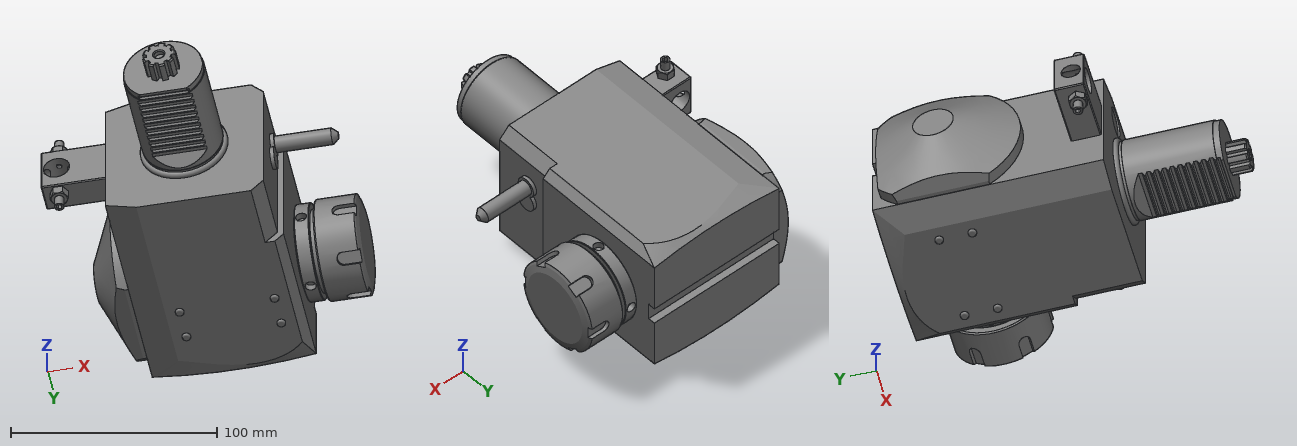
import cadquery as cq
import math


BODY_LENGTH = 116.0
BODY_HALF_HEIGHT = 37.6
BODY_LEFT = -39.0
BODY_RIGHT = 42.0
TAPER_START_X = -23.6
TAPER_HALF_HEIGHT = 33.1
RIGHT_CHAMFER = 4.3
STEP_X = 39.0
STEP_LENGTH = 35.0
STEP_CHAMFER = 6.0
BACK_SLOT_WIDTH = 9.8
BACK_SLOT_DEPTH = 4.1

SLOPE_BACK_CREST_Z = 36.5
SLOPE_LEFT_Y = 103.8
SLOPE_TOP_POINTS = [(-7.2, 109.4), (13.0, 112.8), (27.7, 109.9)]
SLOPE_RIGHT_Y = 103.0

SPINDLE_Y = 80.2

DOME_RADIUS = 40.1
DOME_TIP_RADIUS = 10.2
DOME_TIP_X = -58.9
DOME_RIM_X = -44.8
DOME_BACK_Y = 111.7
DOME_FLAT_HALF_HEIGHT = 32.8
DOME_FLAT_END_X = -40.8
DOME_FLAT_SLOPE = 0.24

SPINDLE_CORE_RADIUS = 20.5
RING_START_X = 42.8
RING_END_X = 50.1
RING_RADIUS = 24.0
RING_CHAMFER = 0.4
RING_HOLE_RADIUS = 2.7
RING_HOLE_DEPTH = 3.5
RING_HOLE_COUNT = 4
NUT_START_X = 52.5
NUT_END_X = 74.5
NUT_RADIUS = 25.0
NUT_BACK_CHAMFER = 0.7
NUT_EDGE_X = 72.7
NUT_RIM_X = 73.4
NUT_RIM_RADIUS = 23.6
NUT_FACE_RADIUS = 19.7
NUT_SLOT_COUNT = 6
NUT_SLOT_WIDTH = 6.6
NUT_SLOT_START_X = 62.0
NUT_SLOT_FLOOR_RADIUS = 22.7

SHANK_RADIUS = 20.0
SHANK_TIP_RADIUS = 19.5
SHANK_LENGTH = 52.8
SHANK_TIP_LENGTH = 3.2
COLLAR_RADIUS = 21.7
COLLAR_LENGTH = 2.3
COLLAR_ROUND = 1.8
SEAL_GROOVE_LENGTH = 1.5
SEAL_GROOVE_RADIUS = 19.7

RACK_ROOT_Z = -14.9
RACK_TIP_Z = -15.8
RACK_PITCH = 4.0
RACK_LAST_TOOTH_Y = -49.0
RACK_TOOTH_COUNT = 10
RACK_TOOTH_BASE = 2.3
RACK_TOOTH_TIP = 0.7
RACK_START_Y = -10.5
RACK_END_Y = -51.4

SPLINE_END_Y = -63.0
SPLINE_TOOTH_COUNT = 9
SPLINE_ROOT_RADIUS = 6.3
SPLINE_TIP_RADIUS = 8.2
SPLINE_TOOTH_WIDTH = 2.9
SPLINE_CHAMFER = 0.7
SPLINE_BORE_RADIUS = 2.5
SPLINE_BORE_DEPTH = 2.7
SPLINE_BORE_CHAMFER = 0.5

RECESS_X = -16.1
RECESS_Z = 27.7
RECESS_RADIUS = 7.5
RECESS_DEPTH = 0.9

PIN_Y = 21.3
PIN_Z = 16.0
PIN_RADIUS = 4.1
PIN_END_X = 72.0
PIN_TAPER_LENGTH = 3.0
PIN_TAPER = 2.5
DISC_RADIUS = 5.5
DISC_THICKNESS = 2.0
LOWER_DISC_Z = 6.5

BLOCK_LEFT = -71.0
BLOCK_FRONT_Y = 1.0
BLOCK_BACK_Y = 16.3
BLOCK_HALF_HEIGHT = 12.4
BLOCK_EDGE_CHAMFER = 0.5
CROSS_HOLE_X = -63.4
CROSS_HOLE_RADIUS = 6.5
SIDE_HOLE_Y = 7.7
SIDE_HOLE_RADIUS = 4.8
SIDE_HOLE_END_X = -46.5
FEED_HOLE_RADIUS = 1.5
FEED_HOLE_END_X = -41.2

SCREW_X = -63.0
SCREW_Y = 6.3
SCREW_RADIUS = 2.3
SCREW_END_Z = 22.4
SCREW_SOCKET_FLATS = 2.5
SCREW_SOCKET_DEPTH = 2.7
SCREW_CUP_RADIUS = 1.3
SCREW_CUP_TOP_Z = 8.0
LOCK_NUT_FLATS = 8.0
LOCK_NUT_TOP_Z = 16.8
LOCK_NUT_CHAMFER = 0.7

STUD_RADIUS = 2.1
STUD_HEIGHT = 1.5
STUD_ROUND = 0.9
STUD_XS = (-16.6, 30.3)
STUD_SPACING_Y = 16.6

OVERLAP = 1.8
CLEARANCE = 35.8


def mirrored_z(solid):
    return solid.union(solid.mirror("XY"))


def rod_x(start_x, end_x, y, z, radius):
    return (
        cq.Workplane("YZ", origin=(start_x, 0, 0))
        .center(y, z)
        .circle(radius)
        .extrude(end_x - start_x)
    )


def turned_on_spindle(profile):
    """Revolve (x, radius) points about the spindle axis."""
    return (
        cq.Workplane("XY")
        .polyline(profile)
        .close()
        .revolve(360, (0, 0, 0), (1, 0, 0))
        .translate((0, SPINDLE_Y, 0))
    )


def rear_slope_cutter():
    """Wedge above the slope, which is ruled from an arc on the back face to a curve on the top face."""
    ridge_right_x = BODY_RIGHT - RIGHT_CHAMFER
    right_z = BODY_HALF_HEIGHT - RIGHT_CHAMFER
    back_left = cq.Vector(BODY_LEFT, BODY_LENGTH, TAPER_HALF_HEIGHT)
    back_crest = cq.Vector((BODY_LEFT + BODY_RIGHT) / 2, BODY_LENGTH, SLOPE_BACK_CREST_Z)
    back_right = cq.Vector(BODY_RIGHT, BODY_LENGTH, right_z)
    top_left = cq.Vector(TAPER_START_X, SLOPE_LEFT_Y, BODY_HALF_HEIGHT)
    top_right = cq.Vector(ridge_right_x, SLOPE_RIGHT_Y, BODY_HALF_HEIGHT)
    corner_left = cq.Vector(TAPER_START_X, BODY_LENGTH, BODY_HALF_HEIGHT)
    corner_right = cq.Vector(ridge_right_x, BODY_LENGTH, BODY_HALF_HEIGHT)
    top_points = [cq.Vector(x, y, BODY_HALF_HEIGHT) for x, y in SLOPE_TOP_POINTS]

    line = cq.Edge.makeLine
    back_arc = cq.Edge.makeThreePointArc(back_left, back_crest, back_right)
    top_curve = cq.Edge.makeSpline([top_left] + top_points + [top_right])
    slope = cq.Face.makeRuledSurface(back_arc, top_curve)
    left_lines = [line(back_left, top_left), line(top_left, corner_left), line(corner_left, back_left)]
    right_lines = [line(back_right, top_right), line(top_right, corner_right), line(corner_right, back_right)]
    ridge = line(corner_left, corner_right)
    outlines = [
        left_lines,
        right_lines,
        [back_arc, right_lines[2], ridge, left_lines[2]],
        [top_curve, right_lines[1], ridge, left_lines[1]],
    ]
    flat_faces = [cq.Face.makeFromWires(cq.Wire.assembleEdges(edges)) for edges in outlines]
    return cq.Workplane(cq.Solid.makeSolid(cq.Shell.makeShell([slope] + flat_faces)))


def make_housing():
    upper_outline = [
        (BODY_LEFT, TAPER_HALF_HEIGHT),
        (TAPER_START_X, BODY_HALF_HEIGHT),
        (BODY_RIGHT - RIGHT_CHAMFER, BODY_HALF_HEIGHT),
        (BODY_RIGHT, BODY_HALF_HEIGHT - RIGHT_CHAMFER),
    ]
    lower_outline = [(x, -z) for x, z in reversed(upper_outline)]
    block = cq.Workplane("XZ").polyline(upper_outline + lower_outline).close().extrude(-BODY_LENGTH)

    step_keep = (
        cq.Workplane("XZ")
        .rect(2 * STEP_X, 2 * BODY_HALF_HEIGHT)
        .extrude(-STEP_LENGTH)
        .edges("|Y and >X")
        .chamfer(STEP_CHAMFER)
    )
    step_zone = (
        cq.Workplane("XY")
        .box(CLEARANCE, STEP_LENGTH, 3 * BODY_HALF_HEIGHT, centered=(False, False, True))
    )
    block = block.cut(step_zone.translate((STEP_X - STEP_CHAMFER, 0, 0)).cut(step_keep))

    back_slot = cq.Workplane("XY").box(4 * BODY_RIGHT, 2 * BACK_SLOT_DEPTH, BACK_SLOT_WIDTH)
    block = block.cut(back_slot.translate((0, BODY_LENGTH, 0)))
    recess = (
        cq.Workplane("XZ")
        .center(RECESS_X, RECESS_Z)
        .circle(RECESS_RADIUS)
        .extrude(-RECESS_DEPTH)
    )
    slope = rear_slope_cutter()
    return block.cut(slope).cut(slope.mirror("XY")).cut(recess)


def make_dome_cover():
    root_x = BODY_LEFT + OVERLAP
    cone = turned_on_spindle([
        (DOME_TIP_X, 0),
        (DOME_TIP_X, DOME_TIP_RADIUS),
        (DOME_RIM_X, DOME_RADIUS),
        (root_x, DOME_RADIUS),
        (root_x, 0),
    ])
    tip_half_height = DOME_FLAT_HALF_HEIGHT - DOME_FLAT_SLOPE * (DOME_FLAT_END_X - DOME_TIP_X)
    upper_outline = [
        (DOME_TIP_X, tip_half_height),
        (DOME_FLAT_END_X, DOME_FLAT_HALF_HEIGHT),
        (root_x, DOME_FLAT_HALF_HEIGHT),
    ]
    lower_outline = [(x, -z) for x, z in reversed(upper_outline)]
    limits = cq.Workplane("XZ").polyline(upper_outline + lower_outline).close().extrude(-DOME_BACK_Y)
    return cone.intersect(limits)


def make_collet_nut():
    nose = turned_on_spindle([
        (BODY_RIGHT - OVERLAP, 0),
        (BODY_RIGHT - OVERLAP, SPINDLE_CORE_RADIUS),
        (RING_START_X, SPINDLE_CORE_RADIUS),
        (RING_START_X, RING_RADIUS - RING_CHAMFER),
        (RING_START_X + RING_CHAMFER, RING_RADIUS),
        (RING_END_X - RING_CHAMFER, RING_RADIUS),
        (RING_END_X, RING_RADIUS - RING_CHAMFER),
        (RING_END_X, SPINDLE_CORE_RADIUS),
        (NUT_START_X, SPINDLE_CORE_RADIUS),
        (NUT_START_X, NUT_RADIUS - NUT_BACK_CHAMFER),
        (NUT_START_X + NUT_BACK_CHAMFER, NUT_RADIUS),
        (NUT_EDGE_X, NUT_RADIUS),
        (NUT_RIM_X, NUT_RIM_RADIUS),
        (NUT_END_X, NUT_FACE_RADIUS),
        (NUT_END_X, 0),
    ])
    ring_hole = (
        cq.Workplane("XY")
        .center((RING_START_X + RING_END_X) / 2, 0)
        .circle(RING_HOLE_RADIUS)
        .extrude(RING_HOLE_DEPTH + OVERLAP)
        .translate((0, 0, RING_RADIUS - RING_HOLE_DEPTH))
    )
    for index in range(RING_HOLE_COUNT):
        hole = ring_hole.rotate((0, 0, 0), (1, 0, 0), index * 360 / RING_HOLE_COUNT)
        nose = nose.cut(hole.translate((0, SPINDLE_Y, 0)))

    slot_length = NUT_END_X - NUT_SLOT_START_X + CLEARANCE
    wrench_slot = (
        cq.Workplane("XZ")
        .center(NUT_SLOT_START_X + slot_length / 2, 0)
        .slot2D(slot_length, NUT_SLOT_WIDTH)
        .extrude(NUT_RADIUS)
        .translate((0, -NUT_SLOT_FLOOR_RADIUS, 0))
    )
    for index in range(NUT_SLOT_COUNT):
        slot = wrench_slot.rotate((0, 0, 0), (1, 0, 0), index * 360 / NUT_SLOT_COUNT)
        nose = nose.cut(slot.translate((0, SPINDLE_Y, 0)))
    return nose


def rack_cutter():
    """Space below the rack: lead-in slope, pointed teeth and a plain land at the shank's end."""
    far_z = -CLEARANCE
    outline = [
        (RACK_START_Y + RACK_ROOT_Z - far_z, far_z),
        (RACK_START_Y, RACK_ROOT_Z),
    ]
    for index in reversed(range(RACK_TOOTH_COUNT)):
        tooth_y = RACK_LAST_TOOTH_Y + index * RACK_PITCH
        outline += [
            (tooth_y + RACK_TOOTH_BASE / 2, RACK_ROOT_Z),
            (tooth_y + RACK_TOOTH_TIP / 2, RACK_TIP_Z),
            (tooth_y - RACK_TOOTH_TIP / 2, RACK_TIP_Z),
            (tooth_y - RACK_TOOTH_BASE / 2, RACK_ROOT_Z),
        ]
    outline += [
        (RACK_END_Y, RACK_ROOT_Z),
        (RACK_END_Y, RACK_TIP_Z),
        (-SHANK_LENGTH - OVERLAP, RACK_TIP_Z),
        (-SHANK_LENGTH - OVERLAP, far_z),
    ]
    return cq.Workplane("YZ").polyline(outline).close().extrude(CLEARANCE, both=True)


def make_shank():
    groove_end_y = -COLLAR_LENGTH - SEAL_GROOVE_LENGTH
    tip_start_y = SHANK_TIP_LENGTH - SHANK_LENGTH
    shank = (
        cq.Workplane("XY")
        .polyline([
            (0, OVERLAP),
            (SEAL_GROOVE_RADIUS, OVERLAP),
            (SEAL_GROOVE_RADIUS, groove_end_y),
            (SHANK_RADIUS, groove_end_y),
            (SHANK_RADIUS, tip_start_y),
            (SHANK_TIP_RADIUS, tip_start_y),
            (SHANK_TIP_RADIUS, -SHANK_LENGTH),
            (0, -SHANK_LENGTH),
        ])
        .close()
        .revolve(360, (0, 0, 0), (0, 1, 0))
        .cut(rack_cutter())
    )
    collar = cq.Workplane("XZ").circle(COLLAR_RADIUS).extrude(COLLAR_LENGTH)
    return shank.union(collar.faces("<Y").edges().fillet(COLLAR_ROUND))


def make_spline():
    length = -SPLINE_END_Y - SHANK_LENGTH + OVERLAP
    start = cq.Workplane("XZ", origin=(0, OVERLAP - SHANK_LENGTH, 0))
    spline = start.circle(SPLINE_ROOT_RADIUS).extrude(length)
    tooth = (
        start.center(SPLINE_TIP_RADIUS / 2, 0)
        .rect(SPLINE_TIP_RADIUS, SPLINE_TOOTH_WIDTH)
        .extrude(length)
    )
    for index in range(SPLINE_TOOTH_COUNT):
        spline = spline.union(tooth.rotate((0, 0, 0), (0, 1, 0), index * 360 / SPLINE_TOOTH_COUNT))
    envelope = start.circle(SPLINE_TIP_RADIUS).extrude(length).faces("<Y").chamfer(SPLINE_CHAMFER)
    bore = (
        cq.Workplane("XZ", origin=(0, SPLINE_END_Y, 0))
        .circle(SPLINE_BORE_RADIUS)
        .extrude(-SPLINE_BORE_DEPTH)
    )
    spline = spline.intersect(envelope).cut(bore)
    bore_edge = cq.selectors.RadiusNthSelector(0)
    return spline.faces("<Y").edges("%CIRCLE").edges(bore_edge).chamfer(SPLINE_BORE_CHAMFER)


def make_pin():
    root_x = STEP_X - OVERLAP
    pin = rod_x(root_x, PIN_END_X, PIN_Y, PIN_Z, PIN_RADIUS)
    pin = pin.faces(">X").chamfer(PIN_TAPER_LENGTH, PIN_TAPER)
    for disc_z in (PIN_Z, LOWER_DISC_Z):
        pin = pin.union(rod_x(root_x, STEP_X + DISC_THICKNESS, PIN_Y, disc_z, DISC_RADIUS))
    return pin


def make_coolant_block():
    depth = BLOCK_BACK_Y - BLOCK_FRONT_Y
    block = (
        cq.Workplane("XY")
        .box(BODY_LEFT + OVERLAP - BLOCK_LEFT, depth, 2 * BLOCK_HALF_HEIGHT, centered=(False, False, True))
        .edges("|X or <X")
        .chamfer(BLOCK_EDGE_CHAMFER)
        .translate((BLOCK_LEFT, BLOCK_FRONT_Y, 0))
    )
    return block.union(mirrored_z(make_set_screw()))


def make_set_screw():
    """Upper set screw with its lock nut; the screw stops inside the coolant block."""
    base = cq.Workplane("XY", origin=(SCREW_X, SCREW_Y, BLOCK_HALF_HEIGHT - OVERLAP))
    nut_height = LOCK_NUT_TOP_Z - BLOCK_HALF_HEIGHT + OVERLAP
    nut_corners = LOCK_NUT_FLATS / math.cos(math.pi / 6)
    rounding = base.circle(nut_corners / 2).extrude(nut_height).faces(">Z").chamfer(LOCK_NUT_CHAMFER)
    nut = base.polygon(6, nut_corners).extrude(nut_height).intersect(rounding)
    screw = base.circle(SCREW_RADIUS).extrude(SCREW_END_Z - BLOCK_HALF_HEIGHT + OVERLAP)
    socket = (
        cq.Workplane("XY", origin=(SCREW_X, SCREW_Y, SCREW_END_Z - SCREW_SOCKET_DEPTH))
        .polygon(6, SCREW_SOCKET_FLATS / math.cos(math.pi / 6))
        .extrude(SCREW_SOCKET_DEPTH)
    )
    return nut.union(screw).cut(socket)


def coolant_holes():
    cross_hole = (
        cq.Workplane("XZ")
        .center(CROSS_HOLE_X, 0)
        .circle(CROSS_HOLE_RADIUS)
        .extrude(-BLOCK_BACK_Y)
    )
    side_hole = rod_x(BLOCK_LEFT, SIDE_HOLE_END_X, SIDE_HOLE_Y, 0, SIDE_HOLE_RADIUS)
    feed_hole = rod_x(SIDE_HOLE_END_X, FEED_HOLE_END_X, SIDE_HOLE_Y, 0, FEED_HOLE_RADIUS)
    screw_cups = cq.Workplane("XY", origin=(SCREW_X, SCREW_Y, 0)).circle(SCREW_CUP_RADIUS)
    screw_cups = screw_cups.extrude(SCREW_CUP_TOP_Z, both=True)
    return cross_hole.union(side_hole).union(feed_hole).union(screw_cups)


def make_studs():
    return (
        cq.Workplane("XY", origin=(0, SPINDLE_Y, -BODY_HALF_HEIGHT - STUD_HEIGHT))
        .pushPoints([(x, side * STUD_SPACING_Y / 2) for x in STUD_XS for side in (-1, 1)])
        .circle(STUD_RADIUS)
        .extrude(STUD_HEIGHT + OVERLAP)
        .faces("<Z")
        .fillet(STUD_ROUND)
    )


result = (
    make_housing()
    .union(make_dome_cover())
    .union(make_collet_nut())
    .union(make_shank())
    .union(make_spline())
    .union(make_pin())
    .union(make_coolant_block())
    .union(make_studs())
    .cut(coolant_holes())
)